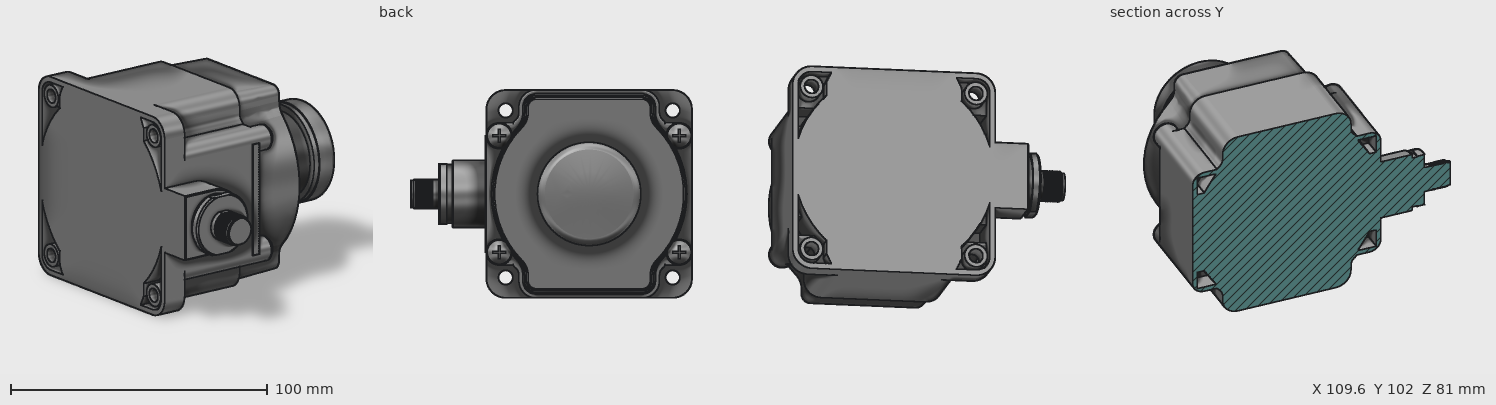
import cadquery as cq
import math

flange_depth = 9.9
seam_depth = 43.3
housing_depth = 47.1
boss_depth = 52.9
screw_depth = 55.9
cover_depth = 69.2

overall_length = 109.6
half_width = 40.1
half_height = 40.5
shoulder_x = 27.4
shoulder_z = 27.7
tall_corner_radius = 6.7
boss_radius = 5.0
inside_corner_radius = 3.8
bolt_arc_z = 31.7
step_top_z = 28.5
step_foot_x = 29.7
housing_edge_radius = 0.7
lip_overhang = 0.4
boss_x = half_width - boss_radius
boss_z = shoulder_z - boss_radius

flange_corner_radius = 7.7
rim = 2.2
hole_offset = 32.5
hole_radius = 2.7
hole_boss_radius = 4.5
hole_boss_recess = 0.4
relief_depth = 7.7
web_radius = 39.6
hole_clearance = 5.8
flare_start_z = 34.4
flare_tip_x = 24.8
well_depth = 21.9
well_inner_z = 18.2
well_outer_z = shoulder_z - rim

cover_radius = 37.5
cover_base_half_height = half_height - rim
cover_top_half_height = 37.6
cover_corner_x = 20.7
cover_corner_z = 33.9
cover_side_z = 31.7
cover_edge = 0.7
cover_foot = 0.7

collar_radius = 20.2
collar_depth = 70.7
collar_rim_radius = 19.7
collar_rim_depth = 71.3
collar_step_radius = 16.3
collar_step_depth = 72.1
neck_radius = 15.6
neck_start = 73.0
neck_end = 77.4
sleeve_radius = 17.1
sleeve_waist_radius = 16.8
sleeve_chamfer = 0.5
cap_start = 89.5
cap_radius = 20.2
cap_foot_radius = 19.7
cap_foot_depth = 92.0
cap_round_start = 98.0
cap_crown_radius = 17.3
cap_crown_depth = 100.9
cap_shoulder_bulge = 0.9
button_depth = 102.0

connector_y = 14.5
connector_block_radius = 13.2
connector_block_end = 53.4
connector_block_chamfer = 0.4
washer_radius = 11.5
nut_start = 55.5
nut_end = 58.6
nut_radius = 12.7
nut_half_height = 11.7
nut_chamfer = 0.7
stem_radius = 6.0
stem_half_height = 5.7
stem_end = overall_length - half_width
stem_end_chamfer = 0.7
thread_start = 60.9
thread_pitch = 1.0
thread_depth = 0.5
thread_count = 7

screw_radius = 4.7
slot_width = 0.9
slot_length = 5.5
slot_depth = 0.7

overlap = 1.1
quadrants = [(sx, sz) for sx in (-1, 1) for sz in (-1, 1)]


def plane_at(depth):
    """Workplane across the part at the given Y; negative extrusion goes toward +Y."""
    return cq.Workplane("XZ", origin=(0, depth, 0))


def to_quadrant(shape, sx, sz):
    """Mirror a shape made for +X, +Z into the quadrant with the given signs."""
    if sx < 0:
        shape = shape.mirror("YZ")
    if sz < 0:
        shape = shape.mirror("XY")
    return shape


def rounded_block(half_x, half_z, start, end, radius):
    block = plane_at(start).rect(2 * half_x, 2 * half_z).extrude(start - end)
    return block.edges("|Y").fillet(radius)


def revolved_about_x(points):
    """Revolve an (X, radius) polyline about the connector axis."""
    profile = cq.Workplane("XY").polyline(points).close()
    return profile.revolve(360, (0, 0, 0), (1, 0, 0)).translate((0, connector_y, 0))


def trim_flats(shape, half_gap):
    """Cut two parallel flats at Z = +/- half_gap."""
    keep = cq.Workplane("XY").box(4 * half_width, 4 * half_width, 2 * half_gap)
    return shape.intersect(keep)


def make_housing():
    wide = rounded_block(half_width, shoulder_z, flange_depth, housing_depth, boss_radius)
    tall = rounded_block(shoulder_x, half_height, flange_depth, housing_depth, tall_corner_radius)
    housing = wide.union(tall)
    arc_x = shoulder_x + inside_corner_radius
    arc_angle = math.asin((bolt_arc_z - step_top_z) / inside_corner_radius)
    step_top_x = arc_x - inside_corner_radius * math.cos(arc_angle)
    arc_mid_x = arc_x - inside_corner_radius * math.cos(arc_angle / 2)
    arc_mid_z = bolt_arc_z - inside_corner_radius * math.sin(arc_angle / 2)
    gusset = (
        plane_at(flange_depth)
        .moveTo(shoulder_x - overlap, shoulder_z - overlap)
        .lineTo(step_foot_x, shoulder_z - overlap)
        .lineTo(step_foot_x, shoulder_z)
        .lineTo(step_top_x, step_top_z)
        .threePointArc((arc_mid_x, arc_mid_z), (shoulder_x, bolt_arc_z))
        .lineTo(shoulder_x - overlap, bolt_arc_z)
        .close()
        .extrude(flange_depth - housing_depth)
    )
    for sx, sz in quadrants:
        housing = housing.union(to_quadrant(gusset, sx, sz))
    housing = housing.faces(">Y").edges().fillet(housing_edge_radius)
    lip_depth = housing_depth - housing_edge_radius - seam_depth
    lip = plane_at(seam_depth).center(half_width, 0).rect(2 * lip_overhang, 2 * boss_z).extrude(-lip_depth)
    return housing.union(lip)


def cover_section(depth, half_z, growth=0.0):
    """Wire of one cover quarter, with its outer walls moved outward by growth."""
    corner_radius = half_z - cover_corner_z + growth
    top_z = half_z + growth
    side_x = cover_corner_x + corner_radius
    corner_mid = corner_radius * math.sqrt(0.5)
    round_radius = cover_radius + growth
    blend_radius = (side_x**2 + cover_side_z**2 - round_radius**2) / (2 * (round_radius - side_x))
    blend_x = side_x + blend_radius
    reach = round_radius / (round_radius + blend_radius)
    touch_x = blend_x * reach
    touch_z = cover_side_z * reach
    blend_angle = math.atan2(cover_side_z, blend_x) / 2
    blend_mid_x = blend_x - blend_radius * math.cos(blend_angle)
    blend_mid_z = cover_side_z - blend_radius * math.sin(blend_angle)
    outline = (
        plane_at(depth)
        .lineTo(0, top_z)
        .lineTo(cover_corner_x, top_z)
        .threePointArc((cover_corner_x + corner_mid, cover_corner_z + corner_mid), (side_x, cover_corner_z))
        .lineTo(side_x, cover_side_z)
        .threePointArc((blend_mid_x, blend_mid_z), (touch_x, touch_z))
        .lineTo(touch_x, 0)
        .close()
    )
    return outline.val()


def ruled_solid(first, last):
    return cq.Workplane("XY").add(cq.Solid.makeLoft([first, last], True))


def make_cover():
    """Drafted cover with a flared foot where it meets the housing."""
    foot_end = housing_depth + cover_foot
    base = cover_section(foot_end, cover_base_half_height)
    tip = cover_section(cover_depth, cover_top_half_height)
    foot = cover_section(housing_depth, cover_base_half_height, cover_foot)
    quarter = ruled_solid(base, tip).union(ruled_solid(foot, base))

    cover = plane_at(housing_depth).circle(cover_radius).extrude(housing_depth - cover_depth)
    foot_center = cq.Vector(0, housing_depth, 0)
    outward = cq.Vector(0, 1, 0)
    flare = cq.Solid.makeCone(cover_radius + cover_foot, cover_radius, cover_foot, foot_center, outward)
    cover = cover.union(cq.Workplane("XY").add(flare))
    for sx, sz in quadrants:
        cover = cover.union(to_quadrant(quarter, sx, sz))
    return cover.faces(">Y").edges().chamfer(cover_edge)


def make_button():
    shoulder_mid_x = (cap_radius + cap_crown_radius) / 2 + cap_shoulder_bulge / 2
    shoulder_mid_y = (cap_round_start + cap_crown_depth) / 2 + cap_shoulder_bulge / 2
    sleeve_middle = (neck_end + sleeve_chamfer + cap_start) / 2
    crown_half = cap_crown_radius / 2
    crown_rise = button_depth - cap_crown_depth
    crown_sphere = (cap_crown_radius**2 + crown_rise**2) / (2 * crown_rise)
    crown_half_rise = math.sqrt(crown_sphere**2 - crown_half**2) - crown_sphere + crown_rise
    profile = (
        cq.Workplane("XY")
        .moveTo(0, cover_depth - overlap)
        .lineTo(collar_radius, cover_depth - overlap)
        .lineTo(collar_radius, collar_depth)
        .lineTo(collar_rim_radius, collar_rim_depth)
        .lineTo(collar_step_radius, collar_step_depth)
        .lineTo(neck_radius, neck_start)
        .lineTo(neck_radius, neck_end)
        .lineTo(sleeve_radius - sleeve_chamfer, neck_end)
        .lineTo(sleeve_radius, neck_end + sleeve_chamfer)
        .threePointArc((sleeve_waist_radius, sleeve_middle), (sleeve_radius, cap_start))
        .lineTo(cap_foot_radius, cap_start)
        .lineTo(cap_foot_radius, cap_foot_depth)
        .lineTo(cap_radius, cap_foot_depth)
        .lineTo(cap_radius, cap_round_start)
        .threePointArc((shoulder_mid_x, shoulder_mid_y), (cap_crown_radius, cap_crown_depth))
        .threePointArc((crown_half, cap_crown_depth + crown_half_rise), (0, button_depth))
        .close()
    )
    return profile.revolve(360, (0, 0, 0), (0, 1, 0))


def make_screw_boss():
    """Round boss with a domed, cross-slotted screw head on its end."""
    boss = plane_at(flange_depth).circle(boss_radius).extrude(flange_depth - boss_depth)
    rise = screw_depth - boss_depth
    sphere_radius = (screw_radius**2 + rise**2) / (2 * rise)
    dome_top = cq.Workplane("XY").sphere(sphere_radius).translate((0, screw_depth - sphere_radius, 0))
    dome = plane_at(boss_depth).circle(screw_radius).extrude(-rise).intersect(dome_top)
    boss = boss.union(dome)
    for size in ((slot_length, slot_width), (slot_width, slot_length)):
        boss = boss.cut(plane_at(screw_depth - slot_depth).rect(*size).extrude(-slot_depth))
    return boss.translate((boss_x, 0, boss_z))


def make_relief():
    """Corner pocket of the flange, with the hole boss left standing in it."""
    wall_x = half_width - rim
    wall_z = half_height - rim
    corner_radius = flange_corner_radius - rim
    corner_mid = corner_radius * (1 - math.sqrt(0.5))
    web_start_z = math.sqrt(web_radius**2 - wall_x**2)
    clear_x = hole_offset - hole_clearance
    web_end_z = math.sqrt(web_radius**2 - clear_x**2)
    web_angle = (math.atan2(web_start_z, wall_x) + math.atan2(web_end_z, clear_x)) / 2
    web_mid = (web_radius * math.cos(web_angle), web_radius * math.sin(web_angle))

    relief = (
        plane_at(0)
        .moveTo(wall_x, web_start_z)
        .lineTo(wall_x, wall_z - corner_radius)
        .threePointArc((wall_x - corner_mid, wall_z - corner_mid), (wall_x - corner_radius, wall_z))
        .lineTo(flare_tip_x, wall_z)
        .lineTo(clear_x, flare_start_z)
        .lineTo(clear_x, web_end_z)
        .threePointArc(web_mid, (wall_x, web_start_z))
        .close()
    )
    well = relief.extrude(-well_depth)
    band_height = well_outer_z - well_inner_z
    band = (
        plane_at(0)
        .center(half_width, (well_outer_z + well_inner_z) / 2)
        .rect(2 * half_width, band_height)
        .extrude(-well_depth)
    )
    pocket = relief.toPending().extrude(-relief_depth)
    hole_boss = (
        plane_at(hole_boss_recess)
        .center(hole_offset, hole_offset)
        .circle(hole_boss_radius)
        .extrude(hole_boss_recess - relief_depth)
    )
    hole = plane_at(0).center(hole_offset, hole_offset).circle(hole_radius).extrude(-flange_depth)
    return pocket.cut(hole_boss).union(well.intersect(band)).union(hole)


def make_connector():
    block = (
        cq.Workplane("YZ")
        .center(connector_y / 2, 0)
        .rect(connector_y, 2 * connector_block_radius)
        .extrude(connector_block_end)
    )
    rounded_back = cq.Workplane("YZ").center(connector_y, 0).circle(connector_block_radius)
    block = block.union(rounded_back.extrude(connector_block_end))
    block = block.faces(">X").edges().chamfer(connector_block_chamfer)

    nut = revolved_about_x([
        (nut_start, 0),
        (nut_start, nut_radius),
        (nut_end - nut_chamfer, nut_radius),
        (nut_end, nut_radius - nut_chamfer),
        (nut_end, 0),
    ])
    nut = trim_flats(nut, nut_half_height)
    washer = revolved_about_x([
        (connector_block_end - overlap, 0),
        (connector_block_end - overlap, washer_radius),
        (nut_start, washer_radius),
        (nut_start, 0),
    ])

    stem_points = [(nut_end - overlap, 0), (nut_end - overlap, stem_radius)]
    for turn in range(thread_count):
        groove = thread_start + turn * thread_pitch
        stem_points.append((groove, stem_radius))
        stem_points.append((groove + thread_pitch / 2, stem_radius - thread_depth))
    thread_end = thread_start + thread_count * thread_pitch
    stem_points.append((thread_end, stem_radius))
    stem_points.append((thread_end + stem_end_chamfer, stem_radius - stem_end_chamfer))
    stem_points.append((stem_end, stem_radius - stem_end_chamfer))
    stem_points.append((stem_end, 0))
    stem = trim_flats(revolved_about_x(stem_points), stem_half_height)
    return block.union(washer).union(nut).union(stem)


result = rounded_block(half_width, half_height, 0, flange_depth, flange_corner_radius)
result = result.union(make_housing())
result = result.union(make_connector())
result = result.union(make_cover())
result = result.union(make_button())
screw_boss = make_screw_boss()
relief = make_relief()
for sx, sz in quadrants:
    result = result.union(to_quadrant(screw_boss, sx, sz))
for sx, sz in quadrants:
    result = result.cut(to_quadrant(relief, sx, sz))